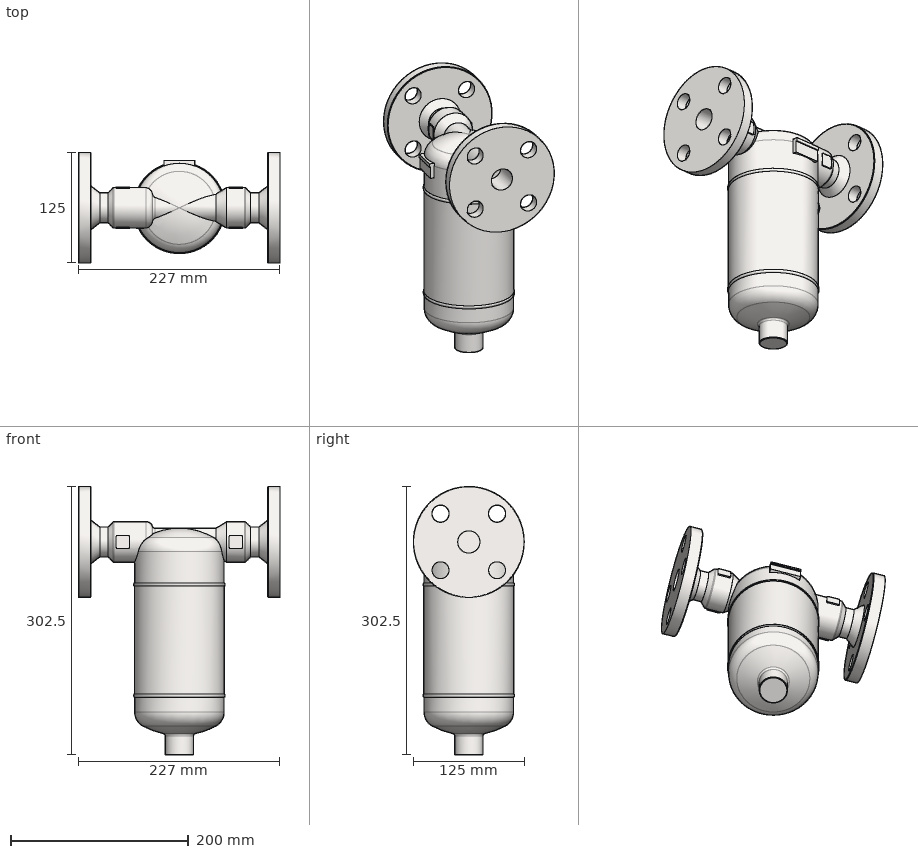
import cadquery as cq
import math


FACE_TO_FACE = 227.0
BOTTOM_Z = -240.0

SHELL_RADIUS = 101.6 / 2
CAP_RADIUS = 101.0 / 2
UPPER_WELD_Z = -48.0
LOWER_WELD_Z = -173.0
WELD_WIDTH = 4.0
WELD_HEIGHT = 0.8
UPPER_KNUCKLE_Z = -10.7
LOWER_KNUCKLE_Z = -191.5
KNUCKLE_RADIUS = 18.0
CROWN_RADIUS = 86.0

DRAIN_RADIUS = 32.0 / 2
DRAIN_FILLET = 2.5
DRAIN_CHAMFER = 0.8

FLANGE_RADIUS = 125.0 / 2
FLANGE_THICKNESS = 14.0
FLANGE_CHAMFER = 0.8
BOLT_CIRCLE_RADIUS = 90.0 / 2
BOLT_HOLE_DIAMETER = 19.0
BOLT_COUNT = 4
BOLT_START_ANGLE = 45.0

HUB_RADIUS = 24.7
NECK_RADIUS = 34.0 / 2
NECK_OUTER_X = 89.6
NECK_INNER_X = 80.2
SLEEVE_RADIUS = 46.0 / 2
SLEEVE_EDGE_FILLET = 1.5
PORT_BORE_DIAMETER = 25.0
INLET_SLEEVE_END_X = -37.7
INLET_ROUND_RADIUS = 8.0
INLET_ROOT_RADIUS = 2.75
OUTLET_SLEEVE_END_X = 53.3
OUTLET_CONE_END_X = 41.1

PAD_SIZE = 15.0
PAD_CORNER_RADIUS = 1.5
PAD_CENTER_X = 63.6
PAD_STANDOUT = 0.2
PAD_FACE_Y = SLEEVE_RADIUS + PAD_STANDOUT

PLATE_WIDTH = 35.0
PLATE_TOP_Z = -7.5
PLATE_BOTTOM_Z = -25.0
PLATE_FACE_Y = 52.0
PLATE_LIP_HEIGHT = 4.0
PLATE_LIP_DEPTH = 1.3

FLANGE_FACE_X = FACE_TO_FACE / 2
FLANGE_BACK_X = FLANGE_FACE_X - FLANGE_THICKNESS
SLEEVE_OUTER_X = NECK_INNER_X - (SLEEVE_RADIUS - NECK_RADIUS)
KNUCKLE_CENTER_RADIUS = CAP_RADIUS - KNUCKLE_RADIUS
CROWN_ANGLE = math.asin(KNUCKLE_CENTER_RADIUS / (CROWN_RADIUS - KNUCKLE_RADIUS))
CROWN_CENTER_DROP = (CROWN_RADIUS - KNUCKLE_RADIUS) * math.cos(CROWN_ANGLE)
CAP_HEIGHT = CROWN_RADIUS - CROWN_CENTER_DROP
CROSSOVER_RADIUS = UPPER_KNUCKLE_Z + CAP_HEIGHT


def domed_cap(weld_z, knuckle_z, direction):
    """Solid torispherical cap from its weld to its crown; direction is +1 up or -1 down."""
    crown_center_z = knuckle_z - direction * CROWN_CENTER_DROP

    def knuckle_point(angle):
        radius = KNUCKLE_CENTER_RADIUS + KNUCKLE_RADIUS * math.sin(angle)
        return radius, knuckle_z + direction * KNUCKLE_RADIUS * math.cos(angle)

    def crown_point(angle):
        radius = CROWN_RADIUS * math.sin(angle)
        return radius, crown_center_z + direction * CROWN_RADIUS * math.cos(angle)

    return (
        cq.Workplane("XZ")
        .moveTo(0, weld_z)
        .lineTo(CAP_RADIUS, weld_z)
        .lineTo(CAP_RADIUS, knuckle_z)
        .threePointArc(knuckle_point((CROWN_ANGLE + math.pi / 2) / 2), knuckle_point(CROWN_ANGLE))
        .threePointArc(crown_point(CROWN_ANGLE / 2), crown_point(0))
        .close()
        .revolve(360, (0, 0, 0), (0, 1, 0))
    )


def weld_bead(weld_z):
    """Disc with a rounded rim standing slightly proud of the shell."""
    half_width = WELD_WIDTH / 2
    return (
        cq.Workplane("XZ")
        .moveTo(0, weld_z - half_width)
        .lineTo(CAP_RADIUS, weld_z - half_width)
        .threePointArc((SHELL_RADIUS + WELD_HEIGHT, weld_z), (CAP_RADIUS, weld_z + half_width))
        .lineTo(0, weld_z + half_width)
        .close()
        .revolve(360, (0, 0, 0), (0, 1, 0))
    )


def lower_cap_with_drain():
    cap = domed_cap(LOWER_WELD_Z, LOWER_KNUCKLE_Z, -1)
    drain = (
        cq.Workplane("XY", origin=(0, 0, BOTTOM_Z))
        .circle(DRAIN_RADIUS)
        .extrude(LOWER_KNUCKLE_Z - BOTTOM_Z)
        .faces("<Z")
        .chamfer(DRAIN_CHAMFER)
    )
    crown_bottom_z = LOWER_KNUCKLE_Z - CAP_HEIGHT
    junction_box = cq.selectors.BoxSelector(
        (-CAP_RADIUS, -CAP_RADIUS, crown_bottom_z),
        (CAP_RADIUS, CAP_RADIUS, crown_bottom_z + DRAIN_FILLET),
    )
    return cap.union(drain).edges(junction_box).fillet(DRAIN_FILLET)


def vessel():
    shell = (
        cq.Workplane("XY", origin=(0, 0, LOWER_WELD_Z))
        .circle(SHELL_RADIUS)
        .extrude(UPPER_WELD_Z - LOWER_WELD_Z)
    )
    body = shell.union(domed_cap(UPPER_WELD_Z, UPPER_KNUCKLE_Z, 1))
    body = body.union(lower_cap_with_drain())
    for weld_z in (UPPER_WELD_Z, LOWER_WELD_Z):
        body = body.union(weld_bead(weld_z))
    return body


def flanged_end(side, sleeve_end_x):
    """Flange, hub, neck and sleeve on one side; side is -1 for inlet, +1 for outlet."""
    profile = [
        (sleeve_end_x, 0),
        (sleeve_end_x, SLEEVE_RADIUS),
        (side * SLEEVE_OUTER_X, SLEEVE_RADIUS),
        (side * NECK_INNER_X, NECK_RADIUS),
        (side * NECK_OUTER_X, NECK_RADIUS),
        (side * FLANGE_BACK_X, HUB_RADIUS),
        (side * FLANGE_BACK_X, FLANGE_RADIUS - FLANGE_CHAMFER),
        (side * (FLANGE_BACK_X + FLANGE_CHAMFER), FLANGE_RADIUS),
        (side * FLANGE_FACE_X, FLANGE_RADIUS),
        (side * FLANGE_FACE_X, 0),
    ]
    end = cq.Workplane("XY").polyline(profile).close().revolve(360, (0, 0, 0), (1, 0, 0))
    sleeve_edge_box = cq.selectors.BoxSelector(
        (side * SLEEVE_OUTER_X - SLEEVE_EDGE_FILLET, -FLANGE_RADIUS, -FLANGE_RADIUS),
        (side * SLEEVE_OUTER_X + SLEEVE_EDGE_FILLET, FLANGE_RADIUS, FLANGE_RADIUS),
    )
    return end.edges(sleeve_edge_box).fillet(SLEEVE_EDGE_FILLET)


def inlet_transition():
    """Rounded sleeve end flowing through a small root radius into the crossover pipe."""
    radius_sum = INLET_ROUND_RADIUS + INLET_ROOT_RADIUS
    round_center_y = SLEEVE_RADIUS - INLET_ROUND_RADIUS
    root_center_y = CROSSOVER_RADIUS + INLET_ROOT_RADIUS
    tilt = math.asin((root_center_y - round_center_y) / radius_sum)
    root_center_x = INLET_SLEEVE_END_X + radius_sum * math.cos(tilt)

    def round_point(angle):
        return (
            INLET_SLEEVE_END_X + INLET_ROUND_RADIUS * math.cos(angle),
            round_center_y + INLET_ROUND_RADIUS * math.sin(angle),
        )

    def root_point(angle):
        return (
            root_center_x - INLET_ROOT_RADIUS * math.cos(angle),
            root_center_y - INLET_ROOT_RADIUS * math.sin(angle),
        )

    return (
        cq.Workplane("XY")
        .moveTo(INLET_SLEEVE_END_X, 0)
        .lineTo(INLET_SLEEVE_END_X, SLEEVE_RADIUS)
        .threePointArc(round_point((tilt + math.pi / 2) / 2), round_point(tilt))
        .threePointArc(root_point((tilt + math.pi / 2) / 2), root_point(math.pi / 2))
        .lineTo(root_center_x, 0)
        .close()
        .revolve(360, (0, 0, 0), (1, 0, 0))
    )


def outlet_transition():
    """Cone from the crossover pipe out to the outlet sleeve."""
    profile = [
        (OUTLET_CONE_END_X, 0),
        (OUTLET_CONE_END_X, CROSSOVER_RADIUS),
        (OUTLET_SLEEVE_END_X, SLEEVE_RADIUS),
        (OUTLET_SLEEVE_END_X, 0),
    ]
    return cq.Workplane("XY").polyline(profile).close().revolve(360, (0, 0, 0), (1, 0, 0))


def crossover_pipe():
    return (
        cq.Workplane("YZ", origin=(INLET_SLEEVE_END_X, 0, 0))
        .circle(CROSSOVER_RADIUS)
        .extrude(OUTLET_SLEEVE_END_X - INLET_SLEEVE_END_X)
    )


def sleeve_pads(side):
    """Bar through the sleeve whose ends form the front and back pads."""
    return (
        cq.Workplane("XY")
        .box(PAD_SIZE, 2 * PAD_FACE_Y, PAD_SIZE)
        .edges("|Y")
        .fillet(PAD_CORNER_RADIUS)
        .translate((side * PAD_CENTER_X, 0, 0))
    )


def name_plate():
    profile = [
        (0, PLATE_BOTTOM_Z),
        (PLATE_FACE_Y, PLATE_BOTTOM_Z),
        (PLATE_FACE_Y, PLATE_TOP_Z - PLATE_LIP_HEIGHT),
        (PLATE_FACE_Y + PLATE_LIP_DEPTH, PLATE_TOP_Z - PLATE_LIP_HEIGHT),
        (PLATE_FACE_Y + PLATE_LIP_DEPTH, PLATE_TOP_Z),
        (0, PLATE_TOP_Z),
    ]
    return cq.Workplane("YZ").polyline(profile).close().extrude(PLATE_WIDTH / 2, both=True)


def flange_holes(side):
    """Bolt holes through the flange and the blind port bore along the neck."""
    flange_face = cq.Workplane("YZ", origin=(side * FLANGE_FACE_X, 0, 0))
    bolts = (
        flange_face
        .polarArray(BOLT_CIRCLE_RADIUS, BOLT_START_ANGLE, 360, BOLT_COUNT)
        .circle(BOLT_HOLE_DIAMETER / 2)
        .extrude(-side * FLANGE_THICKNESS)
    )
    bore_depth = FLANGE_FACE_X - SLEEVE_OUTER_X
    bore = flange_face.circle(PORT_BORE_DIAMETER / 2).extrude(-side * bore_depth)
    return bolts.union(bore)


result = vessel().union(crossover_pipe())
result = result.union(inlet_transition()).union(outlet_transition())
result = result.union(name_plate())
for side, sleeve_end_x in ((-1, INLET_SLEEVE_END_X), (1, OUTLET_SLEEVE_END_X)):
    result = result.union(flanged_end(side, sleeve_end_x))
    result = result.union(sleeve_pads(side))
    result = result.cut(flange_holes(side))